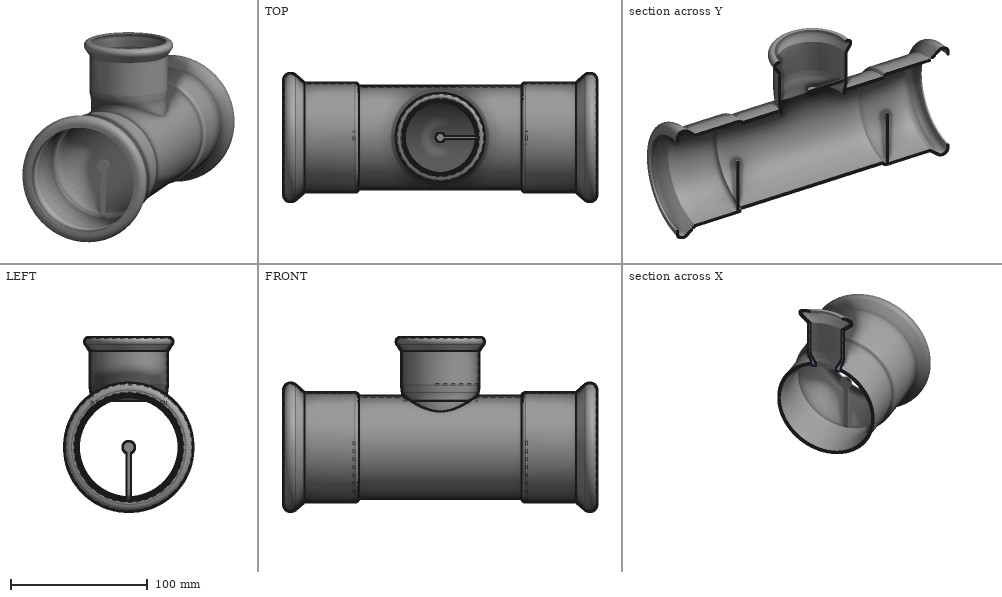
import cadquery as cq
import math

run_length = 230.0
branch_top = 80.7
wall = 1.2

pipe_radius = 76.1 / 2
pipe_bore_radius = 73.1 / 2
run_socket_radius = 80.7 / 2
run_bead_radius = 5.5
run_bead_center = 41.9
run_mouth_radius = 39.3
run_bell_depth = 15.6
run_shoulder_start = 52.5
run_shoulder_end = 55.5

branch_socket_radius = 57.5 / 2
branch_bead_radius = 3.5
branch_bead_center = 29.2
branch_mouth_radius = 27.8
branch_bell_depth = 10.4
branch_shoulder_start = 35.2
branch_shoulder_end = 45.8
neck_radius = 55.0 / 2
neck_bore_radius = 52.0 / 2
neck_end = 47.0
collar_radius = 55.2 / 2

marker_thickness = 1.2
run_disc_radius = 4.5
run_arm_width = 3.5
branch_disc_radius = 3.5
branch_arm_width = 2.3


def bell_tangent(bead_radius, bead_center, foot_depth, foot_radius, center_depth):
    """Point where the cone from the bell's foot touches the bead circle."""
    depth_gap = foot_depth - center_depth
    radius_gap = foot_radius - bead_center
    angle = math.atan2(radius_gap, depth_gap) + math.acos(bead_radius / math.hypot(depth_gap, radius_gap))
    return bead_center + bead_radius * math.sin(angle), center_depth + bead_radius * math.cos(angle)


def bell_profile(inset, bead_radius, bead_center, bell_depth, socket_radius):
    """Bell section from its rim to its foot, set in from the outer skin."""
    radius = bead_radius - inset
    foot = (socket_radius - inset, bell_depth)
    touch = bell_tangent(radius, bead_center, bell_depth, foot[0], bead_radius)
    rim = (bead_center, inset)
    crest = (bead_center + radius, bead_radius)
    return rim, crest, touch, foot


def s_curve(profile, start, end):
    """Two tangent arcs joining cylinders at the (radius, depth) points."""
    middle = ((start[0] + end[0]) / 2, (start[1] + end[1]) / 2)
    return profile.tangentArcPoint(middle, relative=False).threePointArc(*s_curve_exit(middle, end))


def s_curve_exit(middle, end):
    """Midpoint and end of the arc that leaves the middle and ends along the axis."""
    radial = middle[0] - end[0]
    axial = end[1] - middle[1]
    arc_radius = (radial ** 2 + axial ** 2) / (2 * radial)
    half_angle = math.asin(axial / arc_radius) / 2
    mid_arc = (end[0] + arc_radius * (1 - math.cos(half_angle)), end[1] - arc_radius * math.sin(half_angle))
    return mid_arc, end


def revolve_profile(profile):
    """Turn a (radius, depth) section about the depth axis."""
    return profile.close().revolve(360, (0, 0, 0), (0, 1, 0))


def port_skin(inset, bead, socket_radius, bell_depth, start, end, end_radius, double_curve):
    """Solid port, mouth at depth zero; depth runs along +Y."""
    rim, crest, touch, foot = bell_profile(inset, *bead, bell_depth, socket_radius)
    shoulder = (socket_radius - inset, start)
    profile = cq.Workplane("XY").moveTo(0, inset).lineTo(*rim)
    profile = profile.threePointArc(crest, touch).lineTo(*foot).lineTo(*shoulder)
    if double_curve:
        profile = s_curve(profile, shoulder, (end_radius, end))
    else:
        profile = profile.tangentArcPoint((end_radius, end), relative=False)
    return revolve_profile(profile.lineTo(0, end))


def port(bead, mouth_radius, socket_radius, bell_depth, start, end, outer_radius, bore_radius, double_curve):
    """Hollow port: belled socket with a rounded shoulder."""
    outside = port_skin(0, bead, socket_radius, bell_depth, start, end, outer_radius, double_curve)
    inside = port_skin(wall, bead, socket_radius, bell_depth, start, end, bore_radius, double_curve)
    mouth = cq.Workplane("XZ").circle(mouth_radius).extrude(-bead[0])
    return outside.cut(inside).cut(mouth)


def along_x(body):
    """Place a port so that its mouth is at the -X end of the run."""
    return body.rotate((0, 0, 0), (0, 0, 1), -90).translate((-run_length / 2, 0, 0))


def at_branch(body):
    """Place a port so that its mouth is at the top of the branch."""
    return body.rotate((0, 0, 0), (1, 0, 0), -90).translate((0, 0, branch_top))


def make_housing():
    """Tee: run pipe with two sockets and a branch socket on a collar."""
    run_port = along_x(port((run_bead_radius, run_bead_center), run_mouth_radius, run_socket_radius,
                            run_bell_depth, run_shoulder_start, run_shoulder_end,
                            pipe_radius, pipe_bore_radius, double_curve=False))
    pipe_half_length = run_length / 2 - run_shoulder_end
    pipe = cq.Workplane("YZ").circle(pipe_radius).circle(pipe_bore_radius)
    pipe = pipe.extrude(pipe_half_length, both=True)
    pipe = pipe.rotate((0, 0, 0), (1, 0, 0), 90)
    run = pipe.union(run_port).union(run_port.rotate((0, 0, 0), (0, 0, 1), 180))
    branch = at_branch(port((branch_bead_radius, branch_bead_center), branch_mouth_radius,
                            branch_socket_radius, branch_bell_depth, branch_shoulder_start,
                            branch_shoulder_end, neck_radius, neck_bore_radius, double_curve=True))
    neck = cq.Workplane("XY").circle(neck_radius).circle(neck_bore_radius)
    neck = neck.extrude(neck_end - branch_shoulder_end).translate((0, 0, branch_top - neck_end))
    pipe_core = cq.Workplane("YZ").circle(pipe_bore_radius).extrude(run_length / 2, both=True)
    collar = cq.Workplane("XY").circle(collar_radius).extrude(branch_top - neck_end).cut(pipe_core)
    branch_bore = cq.Workplane("XY").circle(neck_bore_radius).extrude(branch_top)
    branch_tube = branch.union(neck)
    return run.union(collar).cut(branch_bore).union(branch_tube)


def make_marker(disc_radius, arm_width, bore_radius):
    """Flat marker in the XY plane with its arm along +X, rounded to the bore."""
    arm = cq.Workplane("XY").rect(2 * bore_radius, arm_width).extrude(marker_thickness)
    arm = arm.intersect(cq.Workplane("XY").circle(bore_radius).extrude(marker_thickness))
    arm = arm.intersect(cq.Workplane("XY").rect(bore_radius, 2 * arm_width)
                        .extrude(marker_thickness).translate((bore_radius / 2, 0, 0)))
    return arm.union(cq.Workplane("XY").circle(disc_radius).extrude(marker_thickness))


def make_run_marker(turn):
    """Marker just in front of a run shoulder, with its arm pointing down."""
    marker = make_marker(run_disc_radius, run_arm_width, run_socket_radius - wall)
    marker = marker.rotate((0, 0, 0), (0, 1, 0), 90)
    marker = marker.translate((run_shoulder_start - marker_thickness - run_length / 2, 0, 0))
    return marker.rotate((0, 0, 0), (0, 0, 1), turn)


housing = make_housing()
run_markers = [make_run_marker(turn) for turn in (0, 180)]
branch_marker = make_marker(branch_disc_radius, branch_arm_width, branch_socket_radius - wall)
branch_marker = branch_marker.translate((0, 0, branch_top - branch_shoulder_start))

result = cq.Compound.makeCompound(
    [housing.val(), *[marker.val() for marker in run_markers], branch_marker.val()])